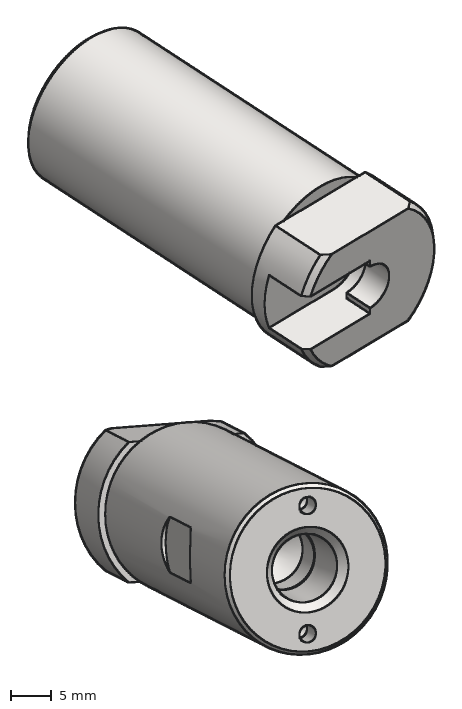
import cadquery as cq
import math

length = 49.89
body_diameter = 21.44
body_chamfer = 0.5
head_diameter = 23.24
head_length = 8.82
head_start = length - head_length
head_flat_distance = 17.58
head_chamfer_length = 0.87
head_chamfer_depth = 0.7

slot_start = 43.34
slot_width = 8.27
seat_length = 2.4
neck_diameter = 6.5

bore_mouth_diameter = 10.7
taper_diameter = 8.57
bore_mouth_depth = (bore_mouth_diameter - taper_diameter) / 2
taper_length = 7.0
taper_ratio = 1 / 16
taper_end = bore_mouth_depth + taper_length
taper_end_diameter = taper_diameter - taper_ratio * taper_length
pilot_diameter = 7.95
pilot_depth = 12.0
pinhole_diameter = 1.6
drill_tip_angle = 118.0

spanner_hole_diameter = 2.16
spanner_hole_depth = 3.0
spanner_hole_offset = 8.02

spotface_diameter = 9.8
spotface_depth = 0.58
spotface_x = 17.1


def cone_height(base_diameter, tip_diameter, full_angle):
    """Axial length of a cone between two diameters."""
    return (base_diameter - tip_diameter) / 2 / math.tan(math.radians(full_angle / 2))


def revolve_about_x(points):
    """Solid of revolution about X from (x, radius) points that start and end on the axis."""
    return cq.Workplane("XY").polyline(points).close().revolve(360, (0, 0, 0), (1, 0, 0))


def cylinder_along_x(start_x, cylinder_length, diameter):
    return cq.Workplane("YZ", origin=(start_x, 0, 0)).circle(diameter / 2).extrude(cylinder_length)


def make_blank():
    """Body and head, both chamfered at their free ends, with two flats on the head."""
    body = cylinder_along_x(0, head_start, body_diameter).faces("<X").chamfer(body_chamfer)
    head_radius = head_diameter / 2
    head = revolve_about_x([
        (head_start, 0),
        (head_start, head_radius),
        (length - head_chamfer_length, head_radius),
        (length, head_radius - head_chamfer_depth),
        (length, 0),
    ])
    flats = cq.Workplane("XY").box(2 * length, head_diameter, head_flat_distance)
    return body.union(head.intersect(flats))


def make_slot():
    """Straight slot from the -Y side to the axis, plus the wide seat and the narrower neck."""
    slot = cq.Workplane("XY").box(
        length - slot_start, head_diameter, slot_width, centered=(False, False, True)
    ).translate((slot_start, -head_diameter, 0))
    seat = cylinder_along_x(slot_start, seat_length, slot_width)
    neck = cylinder_along_x(slot_start, length - slot_start, neck_diameter)
    return slot.union(seat).union(neck)


def make_bore():
    """Tapered bore with a small step to a pilot hole, whose cone narrows to a pinhole."""
    cone_end = pilot_depth + cone_height(pilot_diameter, pinhole_diameter, drill_tip_angle)
    return revolve_about_x([
        (0, 0),
        (0, bore_mouth_diameter / 2),
        (bore_mouth_depth, taper_diameter / 2),
        (taper_end, taper_end_diameter / 2),
        (taper_end, pilot_diameter / 2),
        (pilot_depth, pilot_diameter / 2),
        (cone_end, pinhole_diameter / 2),
        (slot_start, pinhole_diameter / 2),
        (slot_start, 0),
    ])


def make_spanner_hole(z):
    """Blind drilled hole with a conical tip."""
    tip_x = spanner_hole_depth + cone_height(spanner_hole_diameter, 0, drill_tip_angle)
    hole = revolve_about_x([
        (0, 0),
        (0, spanner_hole_diameter / 2),
        (spanner_hole_depth, spanner_hole_diameter / 2),
        (tip_x, 0),
    ])
    return hole.translate((0, 0, z))


def make_spotface():
    floor_y = body_diameter / 2 - spotface_depth
    return (
        cq.Workplane("XZ", origin=(spotface_x, floor_y, 0))
        .circle(spotface_diameter / 2)
        .extrude(-body_diameter / 2)
    )


result = make_blank().cut(make_slot()).cut(make_bore()).cut(make_spotface())
for side in (-1, 1):
    result = result.cut(make_spanner_hole(side * spanner_hole_offset))